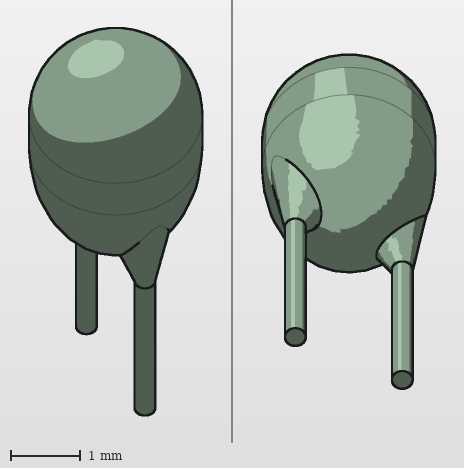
import cadquery as cq
import math

TOTAL_HEIGHT = 7.2
BEAD_DIAMETER = 2.5
BAND_HEIGHT = 0.75
BELLY_HEIGHT = 2.0
LEAD_DIAMETER = 0.3
LEAD_LENGTH = 3.0
LEAD_SPACING = 1.7

ROOT_LOW_X = 0.43
ROOT_LOW_Z = 3.41
ROOT_HIGH_X = 1.225
ROOT_HIGH_Z = 4.84
ROOT_HALF_WIDTH = 0.43

bead_radius = BEAD_DIAMETER / 2
band_top = TOTAL_HEIGHT - bead_radius
band_bottom = band_top - BAND_HEIGHT
lead_x = LEAD_SPACING / 2
lead_radius = LEAD_DIAMETER / 2
UP = cq.Vector(0, 0, 1)


def make_bead():
    """Hemispherical dome, cylindrical band and semi-ellipsoidal belly, turned about Z."""
    diagonal = math.sqrt(0.5)
    dome_middle = (-bead_radius * diagonal, band_top + bead_radius * diagonal)
    return (
        cq.Workplane("XZ")
        .moveTo(0, TOTAL_HEIGHT)
        .threePointArc(dome_middle, (-bead_radius, band_top))
        .lineTo(-bead_radius, band_bottom)
        .ellipseArc(bead_radius, BELLY_HEIGHT, 180, 270, startAtCurrent=True)
        .close()
        .revolve(360, (0, 0), (0, 1))
    )


def make_coating_fillet():
    """Loft on the +X side from the round lead to a sloping elliptical root inside the bead."""
    root_low = cq.Vector(ROOT_LOW_X, 0, ROOT_LOW_Z)
    root_high = cq.Vector(ROOT_HIGH_X, 0, ROOT_HIGH_Z)
    root_axis = root_high - root_low
    root_normal = root_axis.cross(cq.Vector(0, 1, 0))
    root = cq.Wire.makeEllipse(
        root_axis.Length / 2,
        ROOT_HALF_WIDTH,
        (root_low + root_high) / 2,
        root_normal,
        root_axis,
    )
    lead_end = cq.Wire.makeCircle(lead_radius, cq.Vector(lead_x, 0, LEAD_LENGTH), UP)
    return cq.Workplane(cq.Solid.makeLoft([lead_end, root], ruled=True))


def make_housing():
    """Bead with a coating fillet on each side, as one solid."""
    fillet = make_coating_fillet()
    return make_bead().union(fillet).union(fillet.mirror("YZ"))


def make_lead(x):
    """Straight round wire that ends against the lower face of its coating fillet."""
    return cq.Workplane("XY").center(x, 0).circle(lead_radius).extrude(LEAD_LENGTH)


housing = make_housing()
leads = [make_lead(side * lead_x) for side in (-1, 1)]

result = cq.Compound.makeCompound([housing.val(), *[lead.val() for lead in leads]])